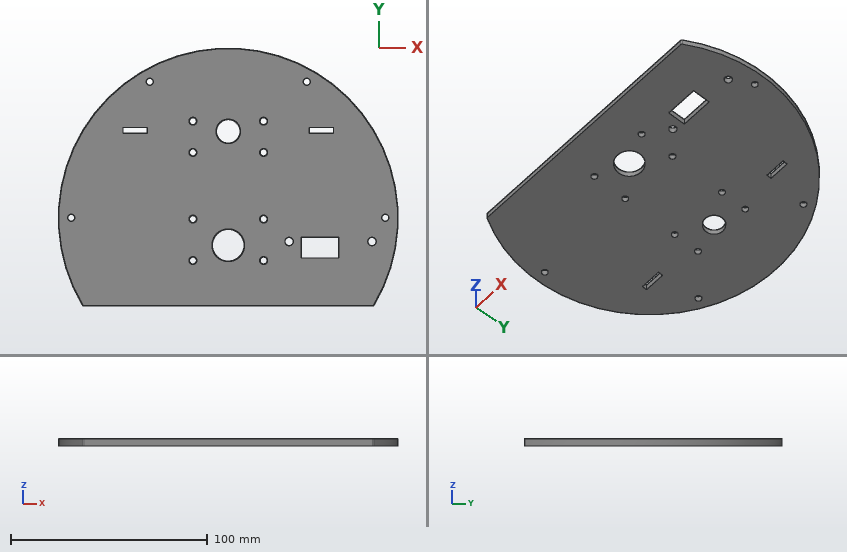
import cadquery as cq

plate_radius = 86.5
plate_depth = 131.2
thickness = 4.0
edge_chamfer = 0.3
corner_radius = 1.0
straight_edge_y = plate_radius - plate_depth

upper_opening_diameter = 12.0
upper_opening_y = 44.1
lower_opening_diameter = 16.0
lower_opening_y = -13.8

screw_diameter = 3.5
screw_x = 18.0
screw_rows = [49.3, 33.4, -0.5, -21.6]

rim_hole_diameter = 3.5
rim_hole_places = [(40.0, 69.3), (79.9, 0.2)]

slot_length = 12.1
slot_width = 2.8
slot_x = 47.4
slot_y = 44.6

window_length = 18.8
window_width = 10.5
window_x = 46.7
window_y = -15.0
fixing_diameter = 4.1
fixing_xs = [31.0, 73.1]
fixing_y = -12.0


def mirrored(places):
    """Each place together with its mirror image about the centre line."""
    return [(side * x, y) for x, y in places for side in (-1, 1)]


def round_cutter(places, diameter):
    """Cylinders through the full thickness at the given places."""
    return cq.Workplane("XY").pushPoints(places).circle(diameter / 2).extrude(thickness)


def rectangular_cutter(places, length, width):
    """Rectangular blocks through the full thickness at the given places."""
    return cq.Workplane("XY").pushPoints(places).rect(length, width).extrude(thickness)


def make_plate():
    disc = cq.Workplane("XY").circle(plate_radius).extrude(thickness)
    keep = (
        cq.Workplane("XY")
        .center(0, straight_edge_y + plate_depth / 2)
        .rect(2 * plate_radius, plate_depth)
        .extrude(thickness)
    )
    return disc.intersect(keep).edges("|Z and <Y").fillet(corner_radius)


plate = make_plate()

plate = plate.cut(round_cutter([(0, upper_opening_y)], upper_opening_diameter))
plate = plate.cut(round_cutter([(0, lower_opening_y)], lower_opening_diameter))

screw_places = mirrored([(screw_x, y) for y in screw_rows])
plate = plate.cut(round_cutter(screw_places, screw_diameter))

plate = plate.faces(">Z").edges().chamfer(edge_chamfer)

plate = plate.cut(round_cutter(mirrored(rim_hole_places), rim_hole_diameter))

plate = plate.cut(rectangular_cutter(mirrored([(slot_x, slot_y)]), slot_length, slot_width))

plate = plate.cut(rectangular_cutter([(window_x, window_y)], window_length, window_width))
plate = plate.cut(round_cutter([(x, fixing_y) for x in fixing_xs], fixing_diameter))

result = plate